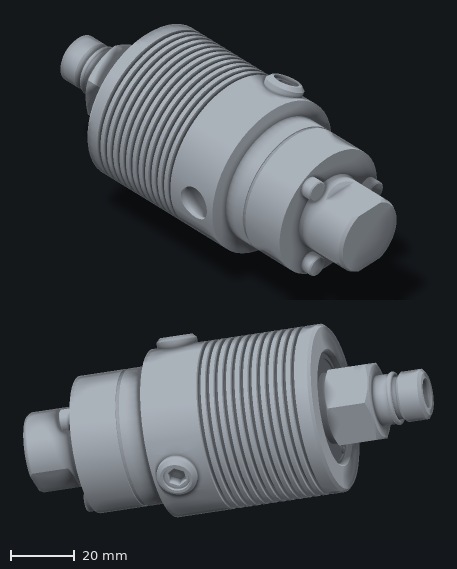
import cadquery as cq
import math


nipple_diameter = 16.0
nipple_tip_diameter = 13.5
nipple_tip_length = 0.9
neck_start = 7.2
neck_bottom_start = 8.4
neck_end = 9.5
neck_diameter = 13.5
seal_ring_section_radius = 0.8
seal_ring_diameter = 17.0
seal_ring_x = neck_end + seal_ring_section_radius
bore_diameter = 8.5
bore_mouth_diameter = 9.9

hex_start = 15.6
hex_end = 30.3
hex_across_flats = 24.0
hex_across_corners = hex_across_flats / math.cos(math.radians(30))
hex_face_diameter = 23.1
hex_chamfer_length = 1.3
collar_diameter = 22.7

housing_start = hex_end
housing_diameter = 53.4
housing_front_chamfer = 0.9
housing_rear = 86.0
rear_cone_length = 1.2

fins_start = 35.5
fins_end = 67.6
fin_groove_count = 12
fin_groove_diameter = 48.4
fin_groove_width = (fins_end - fins_start) / (2 * fin_groove_count - 1)
fin_pitch = 2 * fin_groove_width

flange_diameter = 43.6
flange_end = 110.8
flange_groove_start = 94.5
flange_groove_width = 1.2
flange_groove_depth = 0.4

overall_length = 129.0
spigot_diameter = 25.4
spigot_root_diameter = 26.3
spigot_root_length = 1.0
spigot_chamfer_length = 1.2
spigot_chamfer_depth = 0.6
spigot_flats_distance = 22.0
spigot_flats_start = 116.0

recess_diameter = 35.2
recess_mouth_diameter = 37.3
recess_depth = 2.2
recess_floor = housing_start + recess_depth
ring_thickness = 0.5
ring_inner_diameter = 32.5
ring_eccentricity = 0.9
lug_diameter = 4.8
lug_hole_diameter = 2.0
lug_y = -14.6
lug_z = 5.9

port_x = 77.9
port_diameter = 11.5
port_depth = 10.3
port_floor_radius = housing_diameter / 2 - port_depth
port_angles = (60, 180, 300)
plug_angles = (60, 300)
plug_head_diameter = 12.9
plug_shoulder_radius = 28.4
plug_top_radius = 29.7
plug_rim_diameter = 10.3
plug_dish_diameter = 8.5
plug_dish_depth = 1.2
plug_socket_across_flats = 5.7
plug_socket_depth = 3.9

screw_count = 3
screw_head_diameter = 6.8
screw_head_height = 3.9
screw_head_chamfer = 0.4
screw_circle_radius = 17.4


def cylinder(diameter, start, end, y=0, z=0):
    """Cylinder parallel to X between two axial positions."""
    return cq.Workplane("YZ", origin=(start, y, z)).circle(diameter / 2).extrude(end - start)


def place_radially(shape, angle):
    """Turn a shape built on the +Y side about X, to the given angle from +Y towards +Z."""
    return shape.rotate((0, 0, 0), (1, 0, 0), angle)


def turned(points):
    """Solid of revolution about X from an outline of (x, radius) points, closed along the axis."""
    start, end = points[0][0], points[-1][0]
    outline = [(start, 0), *points, (end, 0)]
    return cq.Workplane("XY").polyline(outline).close().revolve(360, (0, 0), (1, 0))


def hexagon(across_flats, plane):
    """Outline of a hexagon with two corners on the second axis of the plane."""
    corner_radius = across_flats / 2 / math.cos(math.radians(30))
    angles = [math.radians(30 + 60 * i) for i in range(6)]
    corners = [(corner_radius * math.cos(a), corner_radius * math.sin(a)) for a in angles]
    return plane.polyline(corners).close()


def make_nipple():
    tip = nipple_tip_diameter / 2
    outer = nipple_diameter / 2
    neck = neck_diameter / 2
    body = turned([
        (0, tip),
        (nipple_tip_length, outer),
        (neck_start, outer),
        (neck_bottom_start, neck),
        (seal_ring_x, neck),
        (seal_ring_x, outer),
        (hex_start, outer),
    ])
    ring_centre = seal_ring_diameter / 2 - seal_ring_section_radius
    seal_ring = (
        cq.Workplane("XY")
        .center(seal_ring_x, ring_centre)
        .circle(seal_ring_section_radius)
        .revolve(360, (0, -ring_centre), (1, -ring_centre))
    )
    return body.union(seal_ring)


def make_hex():
    prism = hexagon(hex_across_flats, cq.Workplane("YZ", origin=(hex_start, 0, 0)))
    prism = prism.extrude(hex_end - hex_start)
    face = hex_face_diameter / 2
    corner = hex_across_corners / 2
    chamfers = turned([
        (hex_start, face),
        (hex_start + hex_chamfer_length, corner),
        (hex_end - hex_chamfer_length, corner),
        (hex_end, face),
    ])
    return prism.intersect(chamfers)


def make_rotor():
    collar = cylinder(collar_diameter, hex_end - hex_chamfer_length, recess_floor)
    mouth_length = (bore_mouth_diameter - bore_diameter) / 2
    bore = turned([
        (0, bore_mouth_diameter / 2),
        (mouth_length, bore_diameter / 2),
        (recess_floor, bore_diameter / 2),
    ])
    return make_nipple().union(make_hex()).union(collar).cut(bore)


def make_housing_body():
    outer = housing_diameter / 2
    flange = flange_diameter / 2
    groove_floor = flange - flange_groove_depth
    groove_end = flange_groove_start + flange_groove_width
    body = turned([
        (housing_start, outer - housing_front_chamfer),
        (housing_start + housing_front_chamfer, outer),
        (housing_rear, outer),
        (housing_rear + rear_cone_length, flange),
        (flange_groove_start, flange),
        (flange_groove_start, groove_floor),
        (groove_end, groove_floor),
        (groove_end, flange),
        (flange_end, flange),
    ])
    for i in range(fin_groove_count):
        start = fins_start + i * fin_pitch
        end = start + fin_groove_width
        groove = cylinder(housing_diameter, start, end).cut(cylinder(fin_groove_diameter, start, end))
        body = body.cut(groove)
    return body


def make_recess():
    mouth_length = (recess_mouth_diameter - recess_diameter) / 2
    return turned([
        (housing_start, recess_mouth_diameter / 2),
        (housing_start + mouth_length, recess_diameter / 2),
        (recess_floor, recess_diameter / 2),
    ])


def make_retaining_ring():
    """Open ring lying on the recess floor, thinner towards the two lugs at its ends."""
    start = recess_floor - ring_thickness
    disc = cylinder(recess_diameter, start, recess_floor)
    ring = disc.cut(cylinder(ring_inner_diameter, start, recess_floor, y=-ring_eccentricity))
    gap = (
        cq.Workplane("YZ", origin=(start, -recess_diameter / 2, 0))
        .rect(recess_diameter, 2 * lug_z)
        .extrude(ring_thickness)
    )
    ring = ring.cut(gap)
    for z in (-lug_z, lug_z):
        lug = cylinder(lug_diameter, start, recess_floor, lug_y, z).intersect(disc)
        ring = ring.union(lug).cut(cylinder(lug_hole_diameter, start, recess_floor, lug_y, z))
    return ring


def make_spigot():
    radius = spigot_diameter / 2
    spigot = turned([
        (flange_end, spigot_root_diameter / 2),
        (flange_end + spigot_root_length, radius),
        (overall_length - spigot_chamfer_length, radius),
        (overall_length, radius - spigot_chamfer_depth),
    ])
    flat = spigot_flats_distance / 2
    rise = spigot_root_diameter / 2 - flat
    cutter = (
        cq.Workplane("XZ")
        .moveTo(spigot_flats_start, flat)
        .lineTo(overall_length, flat)
        .lineTo(overall_length, flat + rise)
        .lineTo(spigot_flats_start - rise, flat + rise)
        .close()
        .extrude(spigot_diameter / 2, both=True)
    )
    return spigot.cut(cutter).cut(cutter.mirror("XY"))


def make_screw_head(angle):
    head = cylinder(screw_head_diameter, flange_end, flange_end + screw_head_height)
    head = head.faces(">X").chamfer(screw_head_chamfer)
    return place_radially(head.translate((0, screw_circle_radius, 0)), angle)


def make_port():
    return (
        cq.Workplane("XZ", origin=(port_x, port_floor_radius, 0))
        .circle(port_diameter / 2)
        .extrude(-port_depth)
    )


def make_plug():
    """Plug along +Y that fills its port, with a dished head and a hexagon socket."""
    head = plug_head_diameter / 2
    plug = (
        cq.Workplane("XY", origin=(port_x, 0, 0))
        .polyline([
            (0, port_floor_radius),
            (head, port_floor_radius),
            (head, plug_shoulder_radius),
            (plug_rim_diameter / 2, plug_top_radius),
            (0, plug_top_radius),
        ])
        .close()
        .revolve(360, (0, 0), (0, 1))
    )
    dish_floor = plug_top_radius - plug_dish_depth
    dish = (
        cq.Workplane("XZ", origin=(port_x, dish_floor, 0))
        .circle(plug_dish_diameter / 2)
        .extrude(-plug_dish_depth)
    )
    socket = hexagon(plug_socket_across_flats, cq.Workplane("XZ", origin=(port_x, dish_floor, 0)))
    return plug.cut(dish).cut(socket.extrude(plug_socket_depth))


def make_housing():
    housing = make_housing_body().union(make_spigot())
    housing = housing.cut(make_recess()).union(make_retaining_ring())
    for angle in port_angles:
        housing = housing.cut(place_radially(make_port(), angle))
    for angle in plug_angles:
        housing = housing.union(place_radially(make_plug(), angle))
    for i in range(screw_count):
        housing = housing.union(make_screw_head(i * 360 / screw_count))
    return housing


rotor = make_rotor()
housing = make_housing()

result = cq.Compound.makeCompound([rotor.val(), housing.val()])